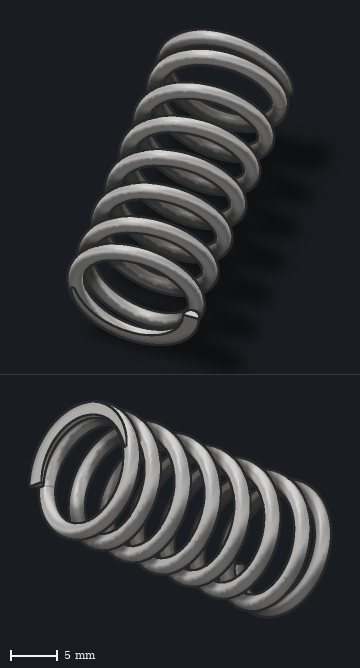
import cadquery as cq

free_length = 31.75
outer_diameter = 15.25
wire_diameter = 1.8
end_pitch = 1.85
end_turns = 1
active_turns = 6

coil_radius = (outer_diameter - wire_diameter) / 2
end_height = end_pitch * end_turns
active_height = free_length - 2 * end_height
active_pitch = active_height / active_turns


def coil(pitch, height, base):
    """Wire coiled about Z from height base, starting and ending on the +X side.

    The round section lies in the plane through the axis, so successive coils meet face to face.
    """
    path = cq.Workplane(cq.Wire.makeHelix(pitch, height, coil_radius))
    section = cq.Workplane("XZ").center(coil_radius, 0).circle(wire_diameter / 2)
    return section.sweep(path, isFrenet=True).translate((0, 0, base))


lower_end = coil(end_pitch, end_height, 0)
active_coils = coil(active_pitch, active_height, end_height)
upper_end = coil(end_pitch, end_height, end_height + active_height)
wire = lower_end.union(active_coils).union(upper_end)

block_width = 2 * outer_diameter
grinding_block = cq.Workplane("XY").box(
    block_width, block_width, free_length, centered=(True, True, False)
)
ground_spring = wire.intersect(grinding_block)

result = ground_spring.translate((0, 0, -free_length / 2)).rotate((0, 0, 0), (1, 0, 0), -90)